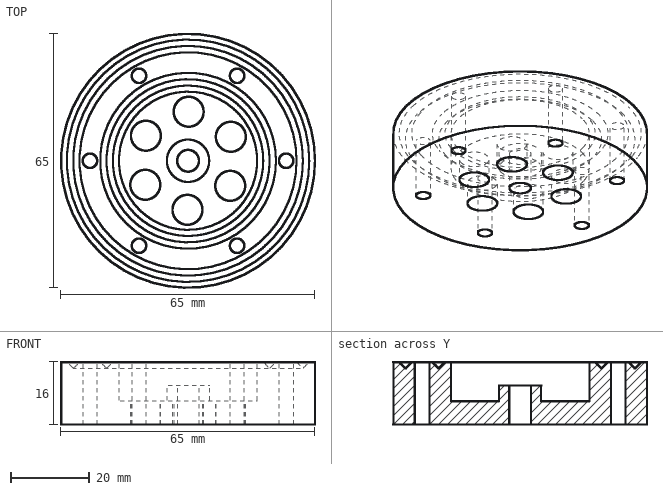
import cadquery as cq
import math

body_diameter = 65.0
body_height = 16.0

pocket_diameter = 35.35
pocket_depth = 10.0
boss_diameter = 10.85
boss_top_drop = 6.0
bore_diameter = 5.5

groove_radii = (20.85, 29.4)
groove_half_width = 1.6
groove_depth = 1.6

hole_count = 6
bolt_hole_diameter = 3.65
bolt_circle_radius = 25.1
vent_hole_diameter = 7.6
vent_circle_radius = 12.55
vent_start_angle = 29.3


def disc(diameter, bottom, top):
    """Cylinder on the Z axis between two heights."""
    return cq.Workplane("XY").workplane(offset=bottom).circle(diameter / 2).extrude(top - bottom)


def v_groove(radius):
    """Ring of triangular section, point down, with its mouth on the top face."""
    profile = cq.Workplane("XZ").polyline([
        (radius - groove_half_width, body_height),
        (radius, body_height - groove_depth),
        (radius + groove_half_width, body_height),
    ]).close()
    return profile.revolve(360, (0, 0, 0), (0, 1, 0))


def hole_ring(hole_diameter, circle_radius, start_angle):
    """Evenly spaced cutters passing through the full height."""
    angles = [math.radians(start_angle + i * 360 / hole_count) for i in range(hole_count)]
    centres = [(circle_radius * math.cos(a), circle_radius * math.sin(a)) for a in angles]
    return cq.Workplane("XY").pushPoints(centres).circle(hole_diameter / 2).extrude(body_height)


pocket_floor = body_height - pocket_depth
boss_top = body_height - boss_top_drop

result = disc(body_diameter, 0, body_height)
result = result.cut(disc(pocket_diameter, pocket_floor, body_height))
result = result.union(disc(boss_diameter, pocket_floor, boss_top))
result = result.cut(disc(bore_diameter, 0, boss_top))
for groove_radius in groove_radii:
    result = result.cut(v_groove(groove_radius))
result = result.cut(hole_ring(bolt_hole_diameter, bolt_circle_radius, 0))
result = result.cut(hole_ring(vent_hole_diameter, vent_circle_radius, vent_start_angle))